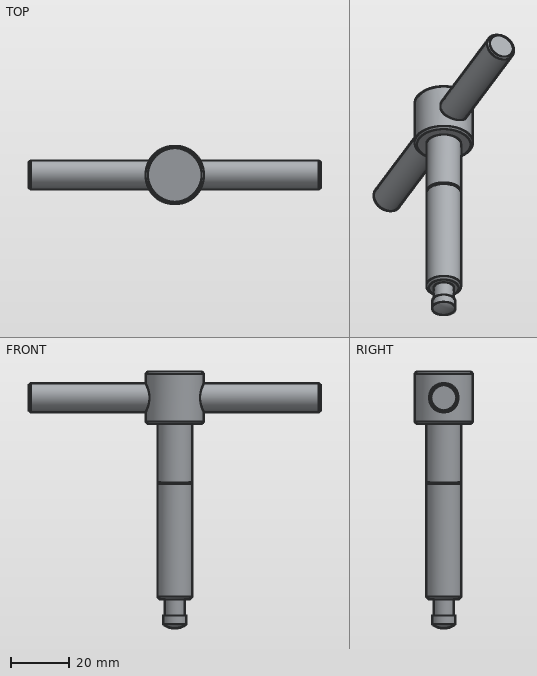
import cadquery as cq

bar_length = 100.0
bar_diameter = 10.0
bar_chamfer = 0.7

head_diameter = 20.0
head_height = 18.0
head_chamfer = 0.8

spindle_diameter = 12.0
spindle_length = 60.0
upper_length = 20.0
spindle_chamfer = 0.9
groove_width = 0.5
groove_depth = 1.0

neck_diameter = 7.0
neck_length = 5.5
button_diameter = 8.0
button_side_height = 3.0
button_dome_height = 1.5

head_bottom = -head_height / 2
spindle_bottom = head_bottom - spindle_length
button_top = spindle_bottom - neck_length


def cylinder_down(diameter, top, length):
    """Vertical cylinder that hangs from the height top."""
    return cq.Workplane("XY").workplane(offset=top).circle(diameter / 2).extrude(-length)


def make_crossbar():
    bar = cq.Workplane("YZ").circle(bar_diameter / 2).extrude(bar_length / 2, both=True)
    return bar.faces("<X or >X").chamfer(bar_chamfer)


def make_head():
    head = cylinder_down(head_diameter, head_height / 2, head_height)
    return head.faces("<Z or >Z").chamfer(head_chamfer)


def make_spindle():
    spindle = cylinder_down(spindle_diameter, head_bottom, spindle_length)
    spindle = spindle.faces("<Z").chamfer(spindle_chamfer)
    groove_top = head_bottom - upper_length
    groove = cylinder_down(spindle_diameter, groove_top, groove_width).cut(
        cylinder_down(spindle_diameter - 2 * groove_depth, groove_top, groove_width)
    )
    return spindle.cut(groove)


def make_pivot():
    neck = cylinder_down(neck_diameter, spindle_bottom, neck_length)
    side_bottom = button_top - button_side_height
    tip = side_bottom - button_dome_height
    button_radius = button_diameter / 2
    dome_radius = (button_radius**2 + button_dome_height**2) / (2 * button_dome_height)
    button = (
        cq.Workplane("XZ")
        .moveTo(0, button_top)
        .lineTo(button_radius, button_top)
        .lineTo(button_radius, side_bottom)
        .radiusArc((0, tip), dome_radius)
        .close()
        .revolve(360, (0, 0), (0, 1))
    )
    return neck.union(button)


result = make_head().union(make_crossbar()).union(make_spindle()).union(make_pivot())